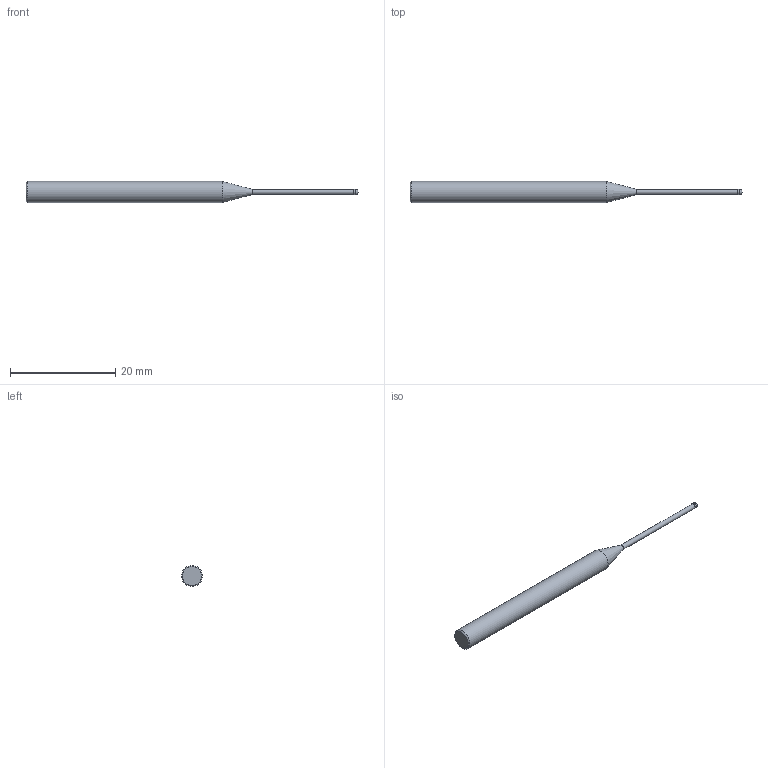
import cadquery as cq
import math

total_length = 63.0
shank_diameter = 4.0
shank_chamfer = 0.2
reach_length = 20.0
neck_diameter = 0.95
head_diameter = 1.0
head_length = 0.8
cone_half_angle = 15.0

shank_radius = shank_diameter / 2
neck_radius = neck_diameter / 2
ball_radius = head_diameter / 2

neck_start = total_length - reach_length
cone_length = (shank_radius - neck_radius) / math.tan(math.radians(cone_half_angle))
cone_start = neck_start - cone_length
head_start = total_length - head_length
ball_center = total_length - ball_radius
ball_arc_mid = ball_radius * math.sin(math.radians(45))


def half_profile():
    """Closed outline of the tool above its axis, from the shank end to the ball tip."""
    return (
        cq.Workplane("XY")
        .moveTo(0, 0)
        .lineTo(0, shank_radius - shank_chamfer)
        .lineTo(shank_chamfer, shank_radius)
        .lineTo(cone_start, shank_radius)
        .lineTo(neck_start, neck_radius)
        .lineTo(head_start, neck_radius)
        .lineTo(head_start, ball_radius)
        .lineTo(ball_center, ball_radius)
        .threePointArc((ball_center + ball_arc_mid, ball_arc_mid), (total_length, 0))
        .close()
    )


result = half_profile().revolve(360, (0, 0, 0), (1, 0, 0))